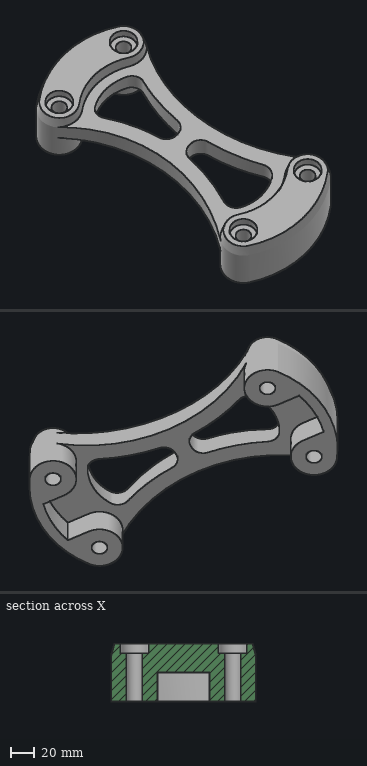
import cadquery as cq
import math

length = 276.5
width = 125.0
height = 50.0

boss_diameter = 40.0
boss_radius = boss_diameter / 2
boss_x = 105.0
boss_y = width / 2 - boss_radius
taper_height = 10.0
taper_inset = 2.8
hole_diameter = 13.5
counterbore_diameter = 24.0
counterbore_depth = 8.3

waist_half_width = 26.3
bridge_bottom = 25.0
bridge_end_top = 39.0
bridge_mid_top = 45.0

window_inner_x = 7.7
window_side_rail = 15.2
window_end_wall = 10.2
window_corner_radius = 11.0

recess_half_width = boss_y - boss_radius
recess_outer_wall = 10.0

half_length = length / 2
outer_reach = half_length - boss_radius
arc_x = (outer_reach**2 - boss_x**2 - boss_y**2) / (2 * (outer_reach - boss_x))
slot_radius = outer_reach - arc_x
slot_angle = math.atan2(boss_y, boss_x - arc_x)
inner_arc_radius = slot_radius - boss_radius

waist_offset = waist_half_width - boss_y
side_radius = (boss_x**2 + waist_offset**2 - boss_radius**2) / (2 * (boss_radius - waist_offset))
side_center_y = waist_half_width + side_radius
contact_fraction = boss_radius / (side_radius + boss_radius)
contact_x = boss_x * (1 - contact_fraction)
contact_y = boss_y + (side_center_y - boss_y) * contact_fraction


def end_outline(inset, z):
    """Outline of the +X end block at height z, moved inwards by inset."""

    def polar(radius, angle):
        return (arc_x + radius * math.cos(angle), radius * math.sin(angle))

    half_width = boss_radius - inset
    outer = slot_radius + half_width
    inner = slot_radius - half_width
    boss_end_angle = slot_angle + math.pi / 2
    tip = (
        boss_x + half_width * math.cos(boss_end_angle),
        boss_y + half_width * math.sin(boss_end_angle),
    )
    return (
        cq.Workplane("XY", origin=(0, 0, z))
        .moveTo(*polar(outer, -slot_angle))
        .threePointArc(polar(outer, 0), polar(outer, slot_angle))
        .threePointArc(tip, polar(inner, slot_angle))
        .threePointArc(polar(inner, 0), polar(inner, -slot_angle))
        .threePointArc((tip[0], -tip[1]), polar(outer, -slot_angle))
        .close()
    )


def end_block():
    """+X end block with a straight lower wall and a tapered rim."""
    wall_height = height - taper_height
    wall = end_outline(0, 0).extrude(wall_height)
    rim_base = end_outline(0, wall_height).val()
    rim_top = end_outline(taper_inset, height).val()
    rim = cq.Workplane(cq.Solid.makeLoft([rim_base, rim_top], True))
    return wall.union(rim)


def bridge():
    """Waisted bridge with a crowned top and a flat underside."""
    plan = (
        cq.Workplane("XY")
        .moveTo(-contact_x, contact_y)
        .threePointArc((0, waist_half_width), (contact_x, contact_y))
        .lineTo(boss_x, boss_y)
        .lineTo(boss_x, -boss_y)
        .lineTo(contact_x, -contact_y)
        .threePointArc((0, -waist_half_width), (-contact_x, -contact_y))
        .lineTo(-boss_x, -boss_y)
        .lineTo(-boss_x, boss_y)
        .close()
        .extrude(height)
    )
    crown = (
        cq.Workplane("XZ")
        .moveTo(-boss_x, bridge_bottom)
        .lineTo(-boss_x, bridge_end_top)
        .threePointArc((0, bridge_mid_top), (boss_x, bridge_end_top))
        .lineTo(boss_x, bridge_bottom)
        .close()
        .extrude(width / 2, both=True)
    )
    return plan.intersect(crown)


def window():
    """Cutter for the +X window: parallel to the bridge sides and the end block."""
    end_disc = cq.Workplane("XY").center(arc_x, 0).circle(inner_arc_radius - window_end_wall).extrude(height)
    inner_limit = cq.Workplane("XY").box(half_length, width, height, centered=(False, True, False))
    cutter = end_disc.intersect(inner_limit.translate((window_inner_x, 0, 0)))
    for side in (-1, 1):
        rail = (
            cq.Workplane("XY")
            .center(0, side * side_center_y)
            .circle(side_radius + window_side_rail)
            .extrude(height)
        )
        cutter = cutter.cut(rail)
    return cutter.edges("|Z").fillet(window_corner_radius)


def recess():
    """Cutter under the +X end block, leaving the round bosses standing."""
    outer_limit = (
        cq.Workplane("XY")
        .center(arc_x, 0)
        .circle(slot_radius + boss_radius - recess_outer_wall)
        .extrude(bridge_bottom)
    )
    channel = cq.Workplane("XY").box(
        half_length, 2 * recess_half_width, bridge_bottom, centered=(False, True, False)
    )
    mouth = cq.Workplane("XY").box(boss_x, 2 * boss_y, bridge_bottom, centered=(False, True, False))
    bosses = (
        cq.Workplane("XY")
        .pushPoints([(boss_x, -boss_y), (boss_x, boss_y)])
        .circle(boss_radius)
        .extrude(bridge_bottom)
    )
    return channel.intersect(outer_limit).union(mouth.cut(bosses))


right_end = end_block().cut(recess())
right_window = window()
body = bridge().cut(right_window).cut(right_window.mirror("YZ"))
body = body.union(right_end).union(right_end.mirror("YZ"))

result = (
    body.faces(">Z")
    .workplane(origin=(0, 0, height))
    .rect(2 * boss_x, 2 * boss_y, forConstruction=True)
    .vertices()
    .cboreHole(hole_diameter, counterbore_diameter, counterbore_depth)
)